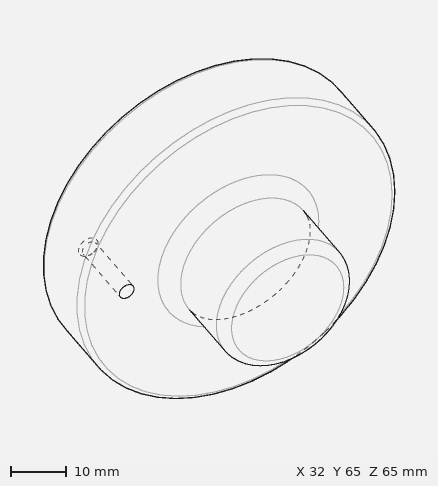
import cadquery as cq

disc_diameter = 64.98
disc_thickness = 14.0
disc_edge_radius = 1.0
hub_diameter = 26.98
overall_length = 32.0
hub_end_radius = 2.0
hub_root_radius = 3.0

hole_diameter = 3.0
hole_mouth_diameter = 4.0
hole_offset = 22.85


def make_body():
    """Revolve the half outline of disc and hub about the X axis, then round its edges."""
    disc_radius = disc_diameter / 2
    hub_radius = hub_diameter / 2
    outline = (
        cq.Workplane("XY")
        .lineTo(0, disc_radius)
        .lineTo(disc_thickness, disc_radius)
        .lineTo(disc_thickness, hub_radius)
        .lineTo(overall_length, hub_radius)
        .lineTo(overall_length, 0)
        .close()
    )
    body = outline.revolve(360, (0, 0, 0), (1, 0, 0))
    body = body.faces("<X").edges().fillet(disc_edge_radius)
    body = body.faces(">X").edges().fillet(hub_end_radius)

    shoulder_rim = body.faces(">X[-2]").edges(cq.selectors.RadiusNthSelector(-1))
    body = shoulder_rim.fillet(disc_edge_radius)
    hub_root = body.faces(">X[-2]").edges(cq.selectors.RadiusNthSelector(0))
    return hub_root.fillet(hub_root_radius)


def make_hole_cutter():
    """Through hole with a 45 degree chamfer at its -X mouth."""
    chamfer_depth = (hole_mouth_diameter - hole_diameter) / 2
    start = cq.Workplane("YZ").center(-hole_offset, 0)
    bore = start.circle(hole_diameter / 2).extrude(disc_thickness)
    mouth = start.circle(hole_mouth_diameter / 2).extrude(chamfer_depth, taper=45)
    return bore.union(mouth)


result = make_body().cut(make_hole_cutter())